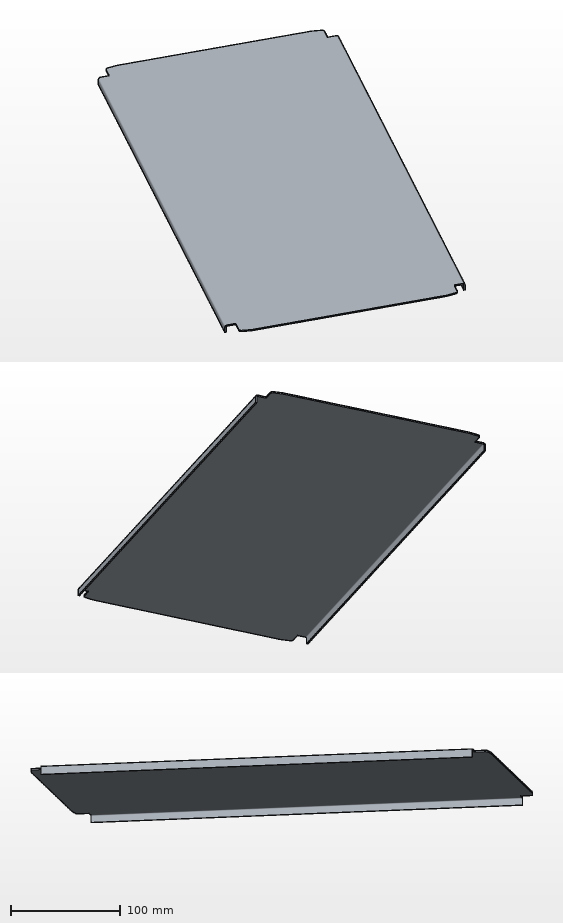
import cadquery as cq

length = 430.5
width = 230.5
thickness = 1.5

flange_length = 404.0
bend_outer_radius = 2.4
bend_inner_radius = bend_outer_radius - thickness
flange_straight_drop = 5.5
height = bend_outer_radius + flange_straight_drop

tab_width = 209.5
taper_length = 11.0
taper_depth = 1.7
corner_radius = 2.5


def make_channel():
    """Flat web with a downward flange on each long side, bent from one sheet."""
    outer = (
        cq.Workplane("XY")
        .box(flange_length, width, height, centered=(True, True, False))
        .edges("|X and >Z")
        .fillet(bend_outer_radius)
    )
    inner = (
        cq.Workplane("XY")
        .box(flange_length, width - 2 * thickness, height - thickness, centered=(True, True, False))
        .edges("|X and >Z")
        .fillet(bend_inner_radius)
    )
    return outer.cut(inner)


def make_end_tabs():
    """Flat plate that reaches past the flanges at both ends."""
    end_x = length / 2
    corner_x = end_x - taper_depth
    corner_y = tab_width / 2
    taper_y = corner_y - taper_length
    return (
        cq.Workplane("XY", origin=(0, 0, height - thickness))
        .moveTo(-corner_x, -corner_y)
        .lineTo(corner_x, -corner_y)
        .lineTo(end_x, -taper_y)
        .lineTo(end_x, taper_y)
        .lineTo(corner_x, corner_y)
        .lineTo(-corner_x, corner_y)
        .lineTo(-end_x, taper_y)
        .lineTo(-end_x, -taper_y)
        .close()
        .extrude(thickness)
        .edges("|Z and (>Y or <Y)")
        .fillet(corner_radius)
    )


result = make_channel().union(make_end_tabs())